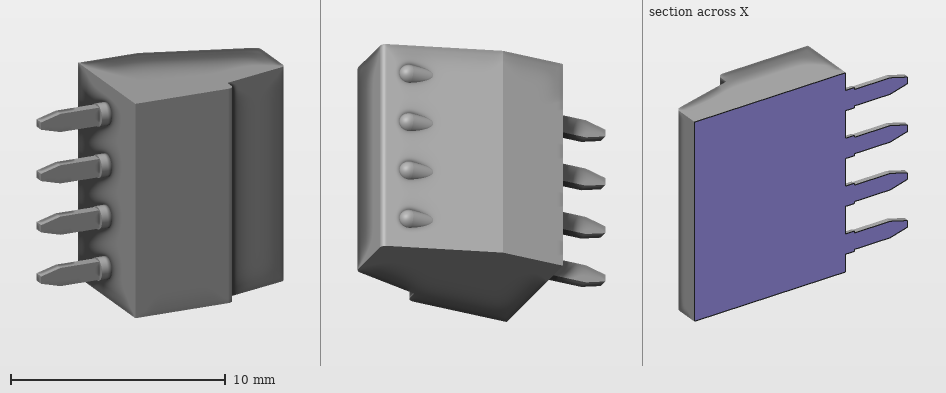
import cadquery as cq

HOUSING_WIDTH = 6.2
HOUSING_DEPTH = 8.5
HOUSING_HEIGHT = 10.62
SLOPE_START_Y = 3.1
NOSE_LEFT_INSET = 1.75
NOSE_RIGHT_INSET = 1.65
SHOULDER_WIDTH = 0.75
SHOULDER_Y = 5.1
EDGE_RADIUS = 0.3

POLE_COUNT = 4
PITCH = 2.55

COLLAR_DIAMETER = 1.1
COLLAR_LENGTH = 0.5
PIN_LENGTH = 3.5
PIN_THICKNESS = 0.5
PIN_HEIGHT = 0.9
TIP_HEIGHT = 0.36
TIP_LENGTH = 1.0

BUTTON_RADIUS = 0.5
BUTTON_INSET = 1.01
BUTTON_CENTER_Y = 7.22
BUTTON_LENGTH = 1.44

LEFT_X = -HOUSING_WIDTH / 2
RIGHT_X = HOUSING_WIDTH / 2


def make_housing():
    nose_left = (LEFT_X + NOSE_LEFT_INSET, HOUSING_DEPTH)
    nose_right = (RIGHT_X - NOSE_RIGHT_INSET, HOUSING_DEPTH)
    shoulder_outer = (RIGHT_X, SHOULDER_Y)
    outline = [
        (LEFT_X, 0),
        (RIGHT_X, 0),
        shoulder_outer,
        (RIGHT_X - SHOULDER_WIDTH, SHOULDER_Y),
        nose_right,
        nose_left,
        (LEFT_X, SLOPE_START_Y),
    ]
    housing = (
        cq.Workplane("XY")
        .workplane(offset=-HOUSING_HEIGHT / 2)
        .polyline(outline)
        .close()
        .extrude(HOUSING_HEIGHT)
    )
    for x, y in (nose_left, nose_right, shoulder_outer):
        edge = cq.selectors.NearestToPointSelector((x, y, 0))
        housing = housing.edges("|Z").edges(edge).fillet(EDGE_RADIUS)
    return housing


def make_pin():
    collar = cq.Workplane("XZ").circle(COLLAR_DIAMETER / 2).extrude(COLLAR_LENGTH)
    taper_start_y = TIP_LENGTH - PIN_LENGTH
    blade = (
        cq.Workplane("YZ")
        .moveTo(0, -PIN_HEIGHT / 2)
        .lineTo(taper_start_y, -PIN_HEIGHT / 2)
        .lineTo(-PIN_LENGTH, -TIP_HEIGHT / 2)
        .lineTo(-PIN_LENGTH, TIP_HEIGHT / 2)
        .lineTo(taper_start_y, PIN_HEIGHT / 2)
        .lineTo(0, PIN_HEIGHT / 2)
        .close()
        .extrude(PIN_THICKNESS / 2, both=True)
    )
    return collar.union(blade)


def make_button():
    center = (LEFT_X + BUTTON_INSET + BUTTON_RADIUS, BUTTON_CENTER_Y, 0)
    return (
        cq.Workplane("XY", origin=center)
        .moveTo(0, -BUTTON_LENGTH)
        .lineTo(BUTTON_RADIUS, -BUTTON_LENGTH)
        .lineTo(BUTTON_RADIUS, 0)
        .radiusArc((0, BUTTON_RADIUS), -BUTTON_RADIUS)
        .close()
        .revolve(360, (0, 0), (0, 1))
    )


result = make_housing()
pin = make_pin()
button = make_button()
for pole in range(POLE_COUNT):
    pole_z = (pole - (POLE_COUNT - 1) / 2) * PITCH
    result = result.union(pin.translate((0, 0, pole_z)))
    result = result.union(button.translate((0, 0, pole_z)))